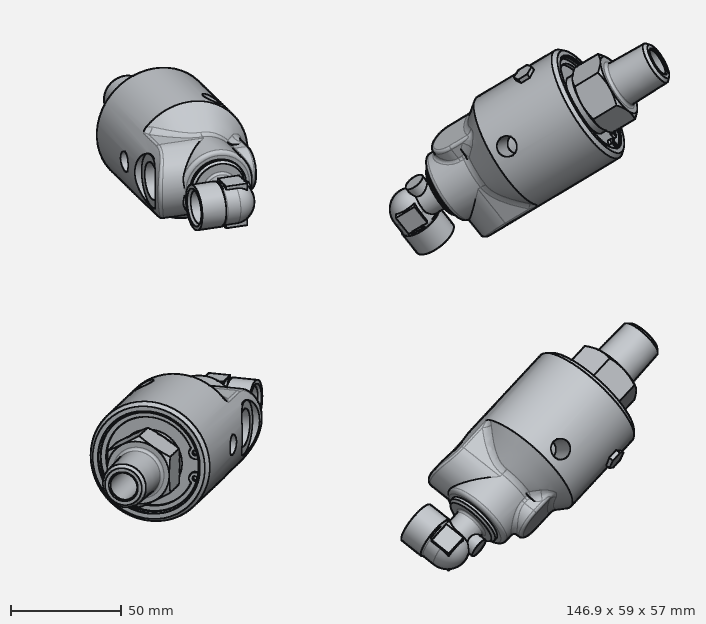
import cadquery as cq
import math


body_dia = 57.0
body_chamfer_length = 2.0
body_chamfer_depth = 1.7
cone_start_x = 45.0
cone_angle = 37.4
neck_dia = 35.0
neck_end_x = 80.0
neck_edge_fillet = 2.0
cone_neck_fillet = 5.0

recess_dia = 47.07
recess_mouth_dia = 48.8
recess_mouth_depth = 0.8
recess_depth = 3.4
ring_thickness = 1.4
ring_inner_dia = 42.3
ring_eye_offset_y = 21.4
ring_eye_offset_z = 6.1
ring_eye_dia = 5.8
ring_hole_dia = 2.36

stem_start_x = -37.3
stem_end_chamfer = 1.5
stem_tip_dia = 20.6
stem_root_dia = 21.6
stem_root_fillet = 1.4
hex_start_x = -15.5
hex_across_flats = 29.7
hex_chamfer_angle = 30.0
collar_dia = 29.6
stem_bore_dia = 12.7
stem_bore_mouth_dia = 13.89
stem_bore_end_x = 0.0

port_x = neck_end_x - neck_dia / 2
lobe_edge_fillet = 1.5
port_dia = 17.48
spotface_dia = 25.4
spotface_y = -25.2
core_dia = 23.0
rear_lobe_x = 63.0
rear_lobe_radius = 10.4
rear_lobe_y = 22.0
rear_lobe_fillet = 2.0

vent_dia = 9.53
vent_count = 3
vent_x = 36.6
plug_x = 16.6
plug_across_flats = 8.6
plug_top_y = 30.45

flange_dia = 27.0
flange_length = 2.7
flange_chamfer = 1.2
tube_dia = 15.0
tube_fillet = 1.1
stub_x = 90.0
stub_dia = 9.53
stub_top_y = 11.05
elbow_socket_dia = 21.0
overall_length = 146.87
elbow_x = stem_start_x + overall_length - elbow_socket_dia / 2
elbow_dia = 20.0
elbow_square = 10.3
socket_start_y = -7.1
socket_end_y = -18.75
elbow_shoulder_length = 0.8
elbow_shoulder_dia = 20.5
socket_bore_dia = 15.0
socket_mouth_dia = 17.48
socket_mouth_depth = 1.24
socket_bore_end_y = -4.0
drill_point_angle = 118.0
tube_bore_dia = 9.53
tube_bore_start_x = 83.0

body_radius = body_dia / 2
neck_radius = neck_dia / 2
overlap = 2.0
cone_length = (body_radius - neck_radius) / math.tan(math.radians(cone_angle))
cone_end_x = cone_start_x + cone_length


def cylinder_x(diameter, x_start, x_end):
    length = x_end - x_start
    return cq.Workplane("YZ", origin=(x_start, 0, 0)).circle(diameter / 2).extrude(length)


def cylinder_y(diameter, x, y_start, y_end):
    """Cylinder along Y, centred on (x, z = 0)."""
    length = y_end - y_start
    return cq.Workplane("XZ", origin=(x, y_start, 0)).circle(diameter / 2).extrude(-length)


def revolve_about_x(outline):
    return outline.close().revolve(360, (0, 0, 0), (1, 0, 0))


def hexagon_corner_dia(across_flats):
    return across_flats / math.cos(math.pi / 6)


def make_turned_housing():
    """Drum, cone and neck."""
    outline = (
        cq.Workplane("XY")
        .moveTo(0, 0)
        .lineTo(0, body_radius - body_chamfer_depth)
        .lineTo(body_chamfer_length, body_radius)
        .lineTo(cone_start_x, body_radius)
        .lineTo(cone_end_x, neck_radius)
        .lineTo(neck_end_x, neck_radius)
        .lineTo(neck_end_x, 0)
    )
    return revolve_about_x(outline).faces(">X").edges().fillet(neck_edge_fillet)


def make_lobe(x, radius, y_start, y_end):
    """Lobe with a round end about a Y axis at x, and a straight part reaching the drum."""
    height = y_end - y_start
    straight_length = x - cone_start_x
    straight = cq.Workplane("XY").box(straight_length, height, 2 * radius, centered=(False, False, True))
    straight = straight.translate((cone_start_x, y_start, 0))
    return cylinder_y(2 * radius, x, y_start, y_end).union(straight)


def make_front_lobe():
    """Port lobe: its outer face continues the drum surface and has a rounded rim."""
    drum = cylinder_x(body_dia, cone_start_x, cone_start_x + body_dia)
    lobe = make_lobe(port_x, neck_radius, -body_dia, 0).intersect(drum)
    rim = cq.selectors.BoxSelector(
        (cone_start_x + overlap, -body_dia, -neck_dia),
        (neck_end_x + overlap, -neck_radius, neck_dia),
    )
    return lobe.edges(rim).fillet(lobe_edge_fillet)


def make_rear_lobe():
    lobe = make_lobe(rear_lobe_x, rear_lobe_radius, 0, rear_lobe_y)
    return lobe.faces(">Y").edges().fillet(lobe_edge_fillet)


def make_housing():
    """Turned housing with both lobes blended into its cone."""
    housing = make_turned_housing().union(make_front_lobe())
    cone_end_circles = [
        edge
        for edge in housing.edges("%CIRCLE").vals()
        if math.isclose(edge.Center().x, cone_end_x, abs_tol=0.01)
    ]
    housing = housing.newObject(cone_end_circles).fillet(cone_neck_fillet)
    housing = housing.union(make_rear_lobe())
    lobe_cone_edges = [
        edge
        for edge in housing.edges("%HYPERBOLA").vals()
        if edge.Center().y > 0 and math.isclose(abs(edge.Center().z), rear_lobe_radius, abs_tol=0.01)
    ]
    small_blend = housing.newObject(lobe_cone_edges).fillet(rear_lobe_fillet)
    large_blend = housing.newObject(lobe_cone_edges).fillet(cone_neck_fillet)
    cone_side = cq.Workplane("XY").box(
        cone_end_x - cone_start_x, body_radius, body_dia, centered=(False, False, True)
    )
    cone_side = cone_side.translate((cone_start_x, 0, 0))
    return small_blend.union(large_blend.intersect(cone_side))


def cut_front_recess(part):
    recess = cylinder_x(recess_dia, 0, recess_depth)
    mouth = cylinder_x(recess_mouth_dia, 0, recess_mouth_depth)
    return part.cut(recess).cut(mouth)


def make_retaining_ring():
    """Open ring with an eye at each end, lying on the recess floor."""
    ring_start_x = recess_depth - ring_thickness
    ring = cylinder_x(recess_dia, ring_start_x, recess_depth)
    ring = ring.cut(cylinder_x(ring_inner_dia, ring_start_x, recess_depth))
    gap_width = 2 * ring_eye_offset_z - ring_eye_dia
    gap = cq.Workplane("XY").box(recess_depth, recess_dia, gap_width, centered=(False, False, True))
    ring = ring.cut(gap.translate((0, -recess_dia, 0)))
    eye_centers = [(-ring_eye_offset_y, side * ring_eye_offset_z) for side in (-1, 1)]
    plane = cq.Workplane("YZ", origin=(ring_start_x, 0, 0)).pushPoints(eye_centers)
    eyes = plane.circle(ring_eye_dia / 2).extrude(ring_thickness)
    eyes = eyes.intersect(cylinder_x(recess_dia, ring_start_x, recess_depth))
    holes = plane.circle(ring_hole_dia / 2).extrude(ring_thickness)
    return ring.union(eyes).cut(holes)


def make_wrench_hexagon():
    """Wrench hexagon with corners towards +Z and -Z and both ends chamfered."""
    corner_dia = hexagon_corner_dia(hex_across_flats)
    hexagon = (
        cq.Workplane("YZ", origin=(hex_start_x, 0, 0))
        .transformed(rotate=(0, 0, 90))
        .polygon(6, corner_dia)
        .extrude(-hex_start_x)
    )
    corner_radius = corner_dia / 2
    face_radius = collar_dia / 2
    chamfer_length = (corner_radius - face_radius) * math.tan(math.radians(hex_chamfer_angle))
    outline = (
        cq.Workplane("XY")
        .moveTo(hex_start_x, 0)
        .lineTo(hex_start_x, face_radius)
        .lineTo(hex_start_x + chamfer_length, corner_radius)
        .lineTo(-chamfer_length, corner_radius)
        .lineTo(0, face_radius)
        .lineTo(0, 0)
    )
    return hexagon.intersect(revolve_about_x(outline))


def make_stem():
    """Tapered threaded end, hexagon and the collar that enters the recess."""
    tip_radius = stem_tip_dia / 2
    root_radius = stem_root_dia / 2
    fillet_start_x = hex_start_x - stem_root_fillet
    fillet_sag = stem_root_fillet * (1 - math.sqrt(0.5))
    outline = (
        cq.Workplane("XY")
        .moveTo(stem_start_x, 0)
        .lineTo(stem_start_x, tip_radius - stem_end_chamfer)
        .lineTo(stem_start_x + stem_end_chamfer, tip_radius)
        .lineTo(fillet_start_x, root_radius)
        .threePointArc(
            (hex_start_x - fillet_sag, root_radius + fillet_sag),
            (hex_start_x, root_radius + stem_root_fillet),
        )
        .lineTo(hex_start_x, 0)
    )
    collar = cylinder_x(collar_dia, -overlap, recess_depth + overlap)
    return revolve_about_x(outline).union(make_wrench_hexagon()).union(collar)


def cut_stem_bore(part):
    bore = cylinder_x(stem_bore_dia, stem_start_x, stem_bore_end_x)
    entry_chamfer = (stem_bore_mouth_dia - stem_bore_dia) / 2
    smallest_circle = cq.selectors.RadiusNthSelector(0)
    return part.cut(bore).faces("<X").edges(smallest_circle).chamfer(entry_chamfer)


def cut_side_openings(part):
    """Port and radial vents, all ending on the inner shaft."""
    port = cylinder_y(port_dia, port_x, -body_dia, 0)
    spotface = cylinder_y(spotface_dia, port_x, -body_dia, spotface_y)
    openings = port.union(spotface)
    for index in range(vent_count):
        vent = cylinder_y(vent_dia, vent_x, -body_dia, 0)
        openings = openings.union(vent.rotate((0, 0, 0), (1, 0, 0), index * 360 / vent_count))
    inner_shaft = cylinder_x(core_dia, 0, neck_end_x)
    return part.cut(openings.cut(inner_shaft))


def make_plug():
    """Hexagonal plug on the +Y side, corners along X."""
    corner_dia = hexagon_corner_dia(plug_across_flats)
    plug_start_y = body_radius - overlap
    plane = cq.Workplane("XZ", origin=(plug_x, plug_start_y, 0))
    return plane.polygon(6, corner_dia).extrude(-(plug_top_y - plug_start_y))


def make_tube():
    """Flange, tube and the short stub on its +Y side."""
    flange_end_x = neck_end_x + flange_length
    flange = cylinder_x(flange_dia, neck_end_x - overlap, flange_end_x)
    flange = flange.faces(">X").edges().chamfer(flange_chamfer)
    tube = cylinder_x(tube_dia, neck_end_x, elbow_x)
    stub = cylinder_y(stub_dia, stub_x, 0, stub_top_y)
    tube_root = cq.selectors.BoxSelector(
        (flange_end_x - tube_fillet / 2, -tube_dia, -tube_dia),
        (flange_end_x + tube_fillet / 2, tube_dia, tube_dia),
    )
    smallest_circle = cq.selectors.RadiusNthSelector(0)
    flanged_tube = flange.union(tube).edges(tube_root).edges(smallest_circle).fillet(tube_fillet)
    return flanged_tube.union(stub)


def make_elbow():
    """Round elbow with a square through it and a socket towards -Y."""
    barrel = cylinder_y(elbow_dia, elbow_x, socket_start_y, 0)
    dome = cq.Workplane("XY").sphere(elbow_dia / 2).translate((elbow_x, 0, 0))
    square = cq.Workplane("XY").box(elbow_square, elbow_square, 2 * elbow_square)
    socket = cylinder_y(elbow_socket_dia, elbow_x, socket_end_y, socket_start_y)
    shoulder = (
        cq.Workplane("XZ", origin=(elbow_x, socket_start_y, 0))
        .circle(elbow_shoulder_dia / 2)
        .workplane(offset=-elbow_shoulder_length)
        .circle(elbow_dia / 2)
        .loft(ruled=True)
    )
    return barrel.union(shoulder).union(dome).union(square.translate((elbow_x, 0, 0))).union(socket)


def drill_point_length(diameter):
    return diameter / 2 / math.tan(math.radians(drill_point_angle / 2))


def cut_elbow_bores(part):
    """Socket bore along Y and tube bore along X, both with a conical drill point."""
    bore_radius = socket_bore_dia / 2
    mouth_radius = socket_mouth_dia / 2
    socket_bore = (
        cq.Workplane("XY", origin=(elbow_x, 0, 0))
        .moveTo(0, socket_end_y)
        .lineTo(mouth_radius, socket_end_y)
        .lineTo(bore_radius, socket_end_y + socket_mouth_depth)
        .lineTo(bore_radius, socket_bore_end_y)
        .lineTo(0, socket_bore_end_y + drill_point_length(socket_bore_dia))
        .close()
        .revolve(360, (0, 0, 0), (0, 1, 0))
    )
    tube_bore = revolve_about_x(
        cq.Workplane("XY")
        .moveTo(tube_bore_start_x, 0)
        .lineTo(tube_bore_start_x, tube_bore_dia / 2)
        .lineTo(elbow_x, tube_bore_dia / 2)
        .lineTo(elbow_x + drill_point_length(tube_bore_dia), 0)
    )
    return part.cut(socket_bore).cut(tube_bore)


result = cut_front_recess(make_housing())
result = cut_side_openings(result)
for piece in (make_retaining_ring(), make_stem(), make_plug(), make_tube(), make_elbow()):
    result = result.union(piece)
result = cut_stem_bore(result)
result = cut_elbow_bores(result)